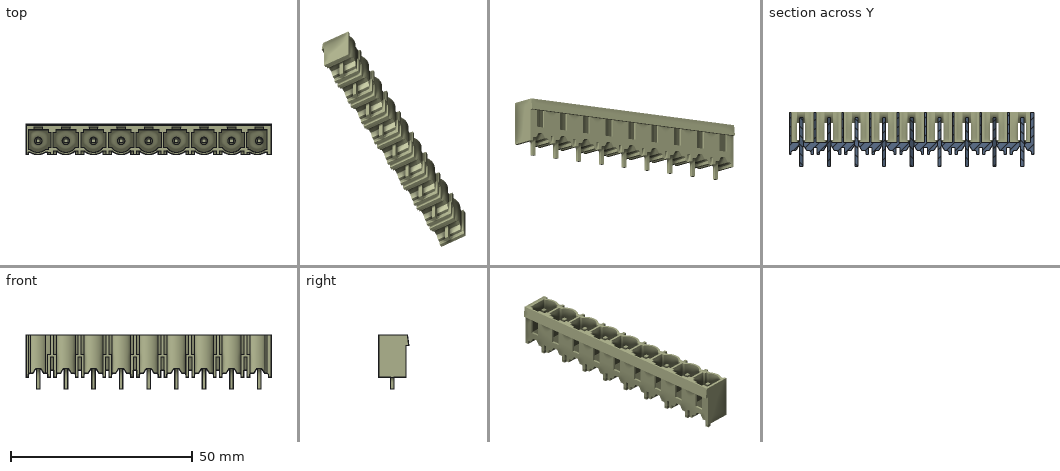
import cadquery as cq
import math


LENGTH = 67.75
COUNT = 9
PITCH = 7.62
FIRST_PIN_X = 3.4
PIN_XS = [FIRST_PIN_X + i * PITCH for i in range(COUNT)]
GAP_XS = [x + PITCH / 2 for x in PIN_XS[:-1]]

HEIGHT = 11.7
DEPTH = 7.6
FLOOR_Z = 3.4
LEFT_WALL = 0.7
RIGHT_WALL = 1.2
PARTITION = 0.6
SHOULDER_Y = 1.0
END_SHOULDER_Y = 0.6

PIN_Y = 3.8
BULGE_RADIUS = PIN_Y
BULGE_WALL = 0.6
FIRST_BULGE_SHIFT = -0.15
LAST_BULGE_SHIFT = -0.5

POCKET_HALF = (PITCH - PARTITION) / 2
POCKET_FRONT_Y = 2.0
POCKET_BACK_Y = 6.2
NECK_HALF = 2.8
NECK_BACK_Y = 7.0
END_NECK_FRONT_Y = 1.4
LAST_NECK_LEFT = 3.1
CURB_WIDTH = 0.2
CURB_HEIGHT = 0.35
CURB_TOP_Z = FLOOR_Z + CURB_HEIGHT
SLOT_HALF = 1.15
SLOT_SILL_HEIGHT = 0.7
SLOT_SILL_Z = FLOOR_Z + SLOT_SILL_HEIGHT
BOSS_DIAMETER = 2.0
BOSS_HEIGHT = 0.35

LEDGE_BOTTOM_Z = 8.75
LEDGE_TOP_REACH = 0.4
LEDGE_BOTTOM_REACH = 0.8

RIB_WIDTH = 0.8
FOOT_HALF = 1.2
FOOT_TOP_Z = 6.25
FOOT_GROOVE_WIDTH = 0.9
FOOT_GROOVE_TOP_Z = 5.55
FOOT_GROOVE_DEPTH = SHOULDER_Y
FOOT_PASSAGE_Z = 1.9

UNDERSIDE_Z = 1.1
UNDERSIDE_CHAMFER = 0.3
RIGHT_FOOT = 0.9
ARCH_TOP_Z = 2.4
ARCH_TOP_HALF = 0.7
ARCH_BOTTOM_HALF = 1.5

PIN_WIDTH = 1.0
PIN_BOTTOM_Z = -3.25
PIN_TOP_Z = 10.3


def block(x0, x1, y0, y1, z0, z1):
    """A box given by its limits along each axis."""
    return cq.Workplane("XY").box(x1 - x0, y1 - y0, z1 - z0, centered=False).translate((x0, y0, z0))


def round_front(center_x, radius, chord_y, z0, z1):
    """The part in front of chord_y of an upright cylinder standing at PIN_Y."""
    half = math.sqrt(radius**2 - (PIN_Y - chord_y) ** 2)
    return (
        cq.Workplane("XY", origin=(center_x, 0, z0))
        .moveTo(-half, chord_y)
        .threePointArc((0, PIN_Y - radius), (half, chord_y))
        .close()
        .extrude(z1 - z0)
    )


def bulge_x(i):
    """Centre of the bulge of one position."""
    shift = {0: FIRST_BULGE_SHIFT, COUNT - 1: LAST_BULGE_SHIFT}
    return PIN_XS[i] + shift.get(i, 0)


def is_end(i):
    return i in (0, COUNT - 1)


def make_shell():
    """Solid block with the end plates, the end shoulders, the bulges and the back ledge."""
    shell = block(0, LENGTH, SHOULDER_Y, DEPTH, 0, HEIGHT)
    shell = shell.union(block(0, LEFT_WALL, 0, DEPTH, 0, HEIGHT))
    shell = shell.union(block(LENGTH - RIGHT_WALL, LENGTH, 0, DEPTH, 0, HEIGHT))
    shell = shell.union(block(0, GAP_XS[0], END_SHOULDER_Y, DEPTH, 0, HEIGHT))
    shell = shell.union(block(GAP_XS[-1], LENGTH, END_SHOULDER_Y, DEPTH, 0, HEIGHT))
    for i in range(COUNT):
        shell = shell.union(round_front(bulge_x(i), BULGE_RADIUS, SHOULDER_Y, 0, HEIGHT))
    ledge = (
        cq.Workplane("YZ")
        .moveTo(DEPTH, LEDGE_BOTTOM_Z)
        .lineTo(DEPTH + LEDGE_BOTTOM_REACH, LEDGE_BOTTOM_Z)
        .lineTo(DEPTH + LEDGE_TOP_REACH, HEIGHT)
        .lineTo(DEPTH, HEIGHT)
        .close()
        .extrude(LENGTH)
    )
    return shell.union(ledge)


def add_foot(housing, x):
    """Rib up the front between two positions, with a wider grooved foot below it."""
    half_rib = RIB_WIDTH / 2
    half_groove = FOOT_GROOVE_WIDTH / 2
    housing = housing.union(block(x - half_rib, x + half_rib, 0, DEPTH, 0, HEIGHT))
    housing = housing.union(block(x - FOOT_HALF, x + FOOT_HALF, 0, DEPTH, 0, FOOT_TOP_Z))
    housing = housing.cut(
        block(x - half_groove, x + half_groove, 0, FOOT_GROOVE_DEPTH, 0, FOOT_GROOVE_TOP_Z)
    )
    return housing.cut(block(x - half_groove, x + half_groove, 0, DEPTH, 0, FOOT_PASSAGE_Z))


def cut_pocket(housing, i):
    """Open pocket of one position, its back slot and the boss around its pin."""
    x = PIN_XS[i]
    left, right = x - POCKET_HALF, x + POCKET_HALF
    neck_left, neck_right = x - NECK_HALF, x + NECK_HALF
    neck_front = END_NECK_FRONT_Y if is_end(i) else POCKET_FRONT_Y
    if i == 0:
        left = neck_left = LEFT_WALL
    if i == COUNT - 1:
        neck_left = x - LAST_NECK_LEFT
        right = neck_right = LENGTH - RIGHT_WALL

    pocket = block(left, right, POCKET_FRONT_Y, POCKET_BACK_Y, FLOOR_Z, HEIGHT)
    neck_floor_back = NECK_BACK_Y - CURB_WIDTH
    pocket = pocket.union(block(neck_left, neck_right, neck_front, neck_floor_back, FLOOR_Z, HEIGHT))
    pocket = pocket.union(block(neck_left, neck_right, neck_front, NECK_BACK_Y, CURB_TOP_Z, HEIGHT))
    inner_radius = BULGE_RADIUS - BULGE_WALL
    pocket = pocket.union(round_front(bulge_x(i), inner_radius, neck_front, FLOOR_Z, HEIGHT))
    slot = block(x - SLOT_HALF, x + SLOT_HALF, POCKET_BACK_Y, DEPTH, SLOT_SILL_Z, HEIGHT)
    boss = (
        cq.Workplane("XY", origin=(x, PIN_Y, FLOOR_Z))
        .circle(BOSS_DIAMETER / 2)
        .extrude(BOSS_HEIGHT)
    )
    return housing.cut(pocket.union(slot)).union(boss)


def cut_underside(housing, i):
    """Raise the underside between two feet, with a trapezoidal arch over the pin."""
    x = PIN_XS[i]
    left = LEFT_WALL if i == 0 else GAP_XS[i - 1] + FOOT_HALF
    right = LENGTH - RIGHT_FOOT if i == COUNT - 1 else GAP_XS[i] - FOOT_HALF
    opening = (
        cq.Workplane("XZ")
        .moveTo(left, 0)
        .lineTo(left, UNDERSIDE_Z - UNDERSIDE_CHAMFER)
        .lineTo(left + UNDERSIDE_CHAMFER, UNDERSIDE_Z)
        .lineTo(x - ARCH_BOTTOM_HALF, UNDERSIDE_Z)
        .lineTo(x - ARCH_TOP_HALF, ARCH_TOP_Z)
        .lineTo(x + ARCH_TOP_HALF, ARCH_TOP_Z)
        .lineTo(x + ARCH_BOTTOM_HALF, UNDERSIDE_Z)
        .lineTo(right - UNDERSIDE_CHAMFER, UNDERSIDE_Z)
        .lineTo(right, UNDERSIDE_Z - UNDERSIDE_CHAMFER)
        .lineTo(right, 0)
        .close()
        .extrude(-DEPTH)
    )
    return housing.cut(opening)


def make_pin(x):
    """Square contact pin running down through the pocket floor."""
    half = PIN_WIDTH / 2
    return block(x - half, x + half, PIN_Y - half, PIN_Y + half, PIN_BOTTOM_Z, PIN_TOP_Z)


def make_housing(pins):
    """Complete housing, with a hole that fits each pin."""
    housing = make_shell()
    for x in GAP_XS:
        housing = add_foot(housing, x)
    for i in range(COUNT):
        housing = cut_pocket(housing, i)
        housing = cut_underside(housing, i)
    for pin in pins:
        housing = housing.cut(pin)
    return housing


pins = [make_pin(x) for x in PIN_XS]
housing = make_housing(pins)

result = cq.Compound.makeCompound([housing.val(), *[pin.val() for pin in pins]])